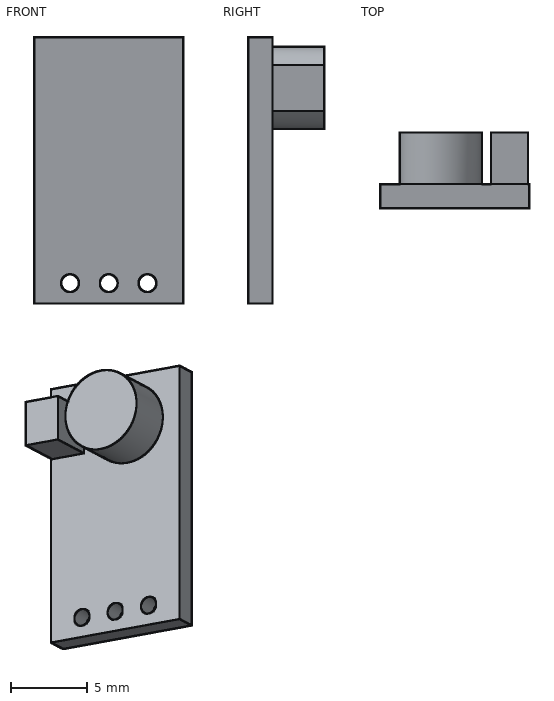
import cadquery as cq

board_width = 9.8
board_height = 17.5
board_thickness = 1.6

overall_depth = 5.0
component_depth = overall_depth - board_thickness

hole_diameter = 1.15
hole_pitch = 2.54
hole_count = 3
hole_edge_distance = 1.35

cylinder_diameter = 5.42
cylinder_x = -0.92
cylinder_top_distance = 3.34

block_width = 2.45
block_height = 3.0
block_side_margin = 0.08
block_top_margin = 1.85

board_top = board_height / 2
board_side = board_width / 2


def make_board():
    """Plate running from Y = 0 to Y = board_thickness."""
    return cq.Workplane("XY").box(
        board_width, board_thickness, board_height, centered=(True, False, True)
    )


def make_cylinder():
    """Round component standing on the back face."""
    return (
        cq.Workplane("XZ", origin=(cylinder_x, board_thickness, board_top - cylinder_top_distance))
        .circle(cylinder_diameter / 2)
        .extrude(-component_depth)
    )


def make_block():
    """Rectangular component beside the cylinder."""
    block_x = board_side - block_side_margin - block_width / 2
    block_z = board_top - block_top_margin - block_height / 2
    return (
        cq.Workplane("XZ", origin=(block_x, board_thickness, block_z))
        .rect(block_width, block_height)
        .extrude(-component_depth)
    )


def make_pin_holes():
    """Cutters for the row of through holes, centred across the board."""
    hole_z = hole_edge_distance - board_height / 2
    return (
        cq.Workplane("XZ", origin=(0, 0, hole_z))
        .rarray(hole_pitch, 1, hole_count, 1)
        .circle(hole_diameter / 2)
        .extrude(-board_thickness)
    )


result = make_board().cut(make_pin_holes()).union(make_cylinder()).union(make_block())